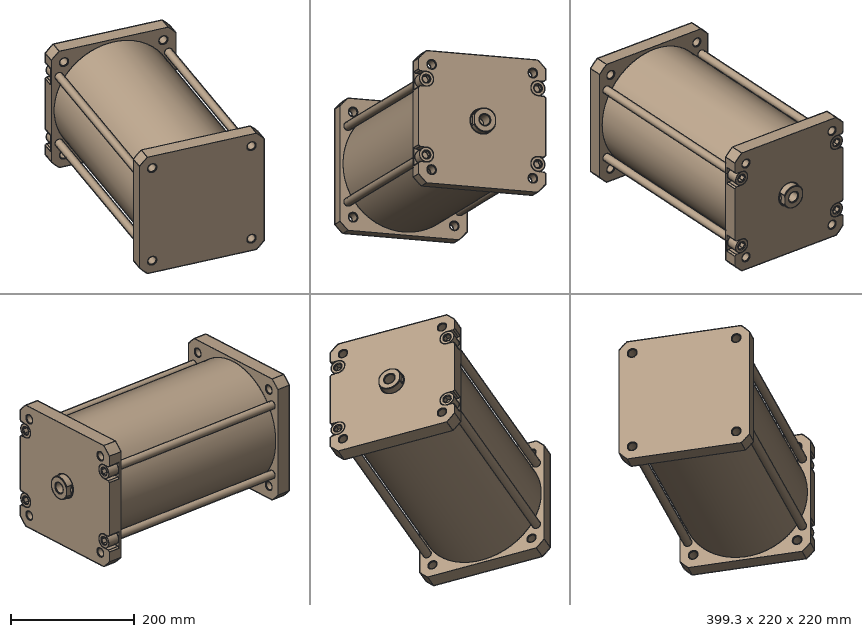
import cadquery as cq
import math


cap_width = 220.0
cap_thickness = 25.0
rod_projection = 12.25
overall_length = 399.25
barrel_start_x = cap_thickness
barrel_end_x = overall_length - rod_projection - cap_thickness

corner_turning_diameter = 292.0
mount_hole_pitch = 175.0
mount_hole_diameter = 14.0
mount_hole_chamfer = 1.2

barrel_diameter = 210.0
barrel_wall = 5.0

tie_rod_y = 96.5
tie_rod_z = 63.0
tie_rod_diameter = 14.0
tie_rod_rear_depth = 15.0
tie_rod_end_x = barrel_end_x + tie_rod_rear_depth
tie_rod_positions = [(y, z) for y in (-tie_rod_y, tie_rod_y) for z in (-tie_rod_z, tie_rod_z)]

pocket_width = 25.0
pocket_depth = 21.0
pocket_mouth_chamfer = 2.6
head_diameter = 24.0
hex_socket_across_flats = 12.0
hex_socket_depth = 10.0
hex_socket_mouth_diameter = 15.0

rod_diameter = 40.0
rod_bore_chamfer = 1.3
rod_tip_chamfer = 1.0
rod_across_flats = 36.0
shoulder_end_x = -1.0
rod_thread_diameter = 18.0
rod_thread_depth = 30.0
rod_thread_chamfer = 1.25
drill_point_angle = 118.0


def cylinder_x(diameter, start_x, end_x, y=0.0, z=0.0):
    """Cylinder along X between two stations."""
    return (
        cq.Workplane("YZ", origin=(start_x, y, z))
        .circle(diameter / 2)
        .extrude(end_x - start_x)
    )


def cone_x(start_diameter, end_diameter, start_x, end_x, y=0.0, z=0.0):
    """Cone along X whose diameter changes evenly; a zero end diameter gives a point."""
    cone = cq.Solid.makeCone(
        start_diameter / 2,
        end_diameter / 2,
        end_x - start_x,
        pnt=cq.Vector(start_x, y, z),
        dir=cq.Vector(1, 0, 0),
    )
    return cq.Workplane(cone)


def make_cap_blank(start_x):
    """Square cap with turned corners and four mounting holes chamfered at both ends."""
    end_x = start_x + cap_thickness
    blank = (
        cq.Workplane("YZ", origin=(start_x, 0, 0))
        .rect(cap_width, cap_width)
        .extrude(cap_thickness)
        .intersect(cylinder_x(corner_turning_diameter, start_x, end_x))
    )
    hole_offset = mount_hole_pitch / 2
    mouth_diameter = mount_hole_diameter + 2 * mount_hole_chamfer
    for y in (-hole_offset, hole_offset):
        for z in (-hole_offset, hole_offset):
            blank = blank.cut(cylinder_x(mount_hole_diameter, start_x, end_x, y, z))
            blank = blank.cut(
                cone_x(mouth_diameter, mount_hole_diameter, start_x, start_x + mount_hole_chamfer, y, z)
            )
            blank = blank.cut(
                cone_x(mount_hole_diameter, mouth_diameter, end_x - mount_hole_chamfer, end_x, y, z)
            )
    return blank


def make_head_pocket(y, z):
    """Round-ended pocket open to the nearer side of the cap, its mouth chamfered along the side face."""
    side = math.copysign(1, y)
    edge_y = side * cap_width / 2
    chamfer_y = edge_y - side * pocket_mouth_chamfer
    half_width = pocket_width / 2
    half_mouth = half_width + pocket_mouth_chamfer
    channel = (
        cq.Workplane("YZ")
        .moveTo(y, z - half_width)
        .lineTo(chamfer_y, z - half_width)
        .lineTo(edge_y, z - half_mouth)
        .lineTo(edge_y, z + half_mouth)
        .lineTo(chamfer_y, z + half_width)
        .lineTo(y, z + half_width)
        .close()
        .extrude(pocket_depth)
    )
    return channel.union(cylinder_x(pocket_width, 0, pocket_depth, y, z))


def make_front_cap():
    """Cap with tie rod pockets and the countersunk bore for the piston rod."""
    cap = make_cap_blank(0)
    for y, z in tie_rod_positions:
        cap = cap.cut(make_head_pocket(y, z))
        cap = cap.cut(cylinder_x(tie_rod_diameter, 0, cap_thickness, y, z))
    bore_mouth_diameter = rod_diameter + 2 * rod_bore_chamfer
    cap = cap.cut(cylinder_x(rod_diameter, 0, cap_thickness))
    return cap.cut(cone_x(bore_mouth_diameter, rod_diameter, 0, rod_bore_chamfer))


def make_rear_cap():
    """Cap with blind holes that take the ends of the tie rods."""
    cap = make_cap_blank(barrel_end_x)
    for y, z in tie_rod_positions:
        cap = cap.cut(cylinder_x(tie_rod_diameter, barrel_end_x, tie_rod_end_x, y, z))
    return cap


def make_barrel():
    """Round tube held between the two caps."""
    bore_diameter = barrel_diameter - 2 * barrel_wall
    tube = cylinder_x(barrel_diameter, barrel_start_x, barrel_end_x)
    return tube.cut(cylinder_x(bore_diameter, barrel_start_x, barrel_end_x))


def make_tie_rod(y, z):
    """Long socket-head screw: round head with a hexagon socket, plain shank into the rear cap."""
    hex_corner_diameter = hex_socket_across_flats / math.cos(math.pi / 6)
    mouth_depth = (hex_socket_mouth_diameter - hex_socket_across_flats) / 2
    head = cylinder_x(head_diameter, 0, pocket_depth, y, z)
    socket = (
        cq.Workplane("YZ", origin=(0, y, z))
        .polygon(6, hex_corner_diameter)
        .extrude(hex_socket_depth)
    )
    socket_mouth = cone_x(hex_socket_mouth_diameter, hex_socket_across_flats, 0, mouth_depth, y, z)
    shank = cylinder_x(tie_rod_diameter, pocket_depth, tie_rod_end_x, y, z)
    return head.cut(socket).cut(socket_mouth).union(shank)


def make_piston_rod():
    """Rod with a flatted, threaded end; a 45 degree shoulder joins the flats to the full diameter."""
    tip_x = -rod_projection
    shoulder_start_x = shoulder_end_x - (rod_diameter - rod_across_flats) / 2
    flatted_end = (
        cylinder_x(rod_diameter, tip_x, shoulder_end_x)
        .faces("<X")
        .chamfer(rod_tip_chamfer)
        .intersect(
            cq.Workplane("YZ", origin=(tip_x, 0, 0))
            .rect(rod_across_flats, rod_diameter)
            .extrude(rod_projection)
        )
    )
    shoulder = cone_x(rod_across_flats, rod_diameter, shoulder_start_x, shoulder_end_x)
    body = cylinder_x(rod_diameter, shoulder_end_x, barrel_start_x)
    rod = body.union(shoulder).union(flatted_end)

    thread_end_x = tip_x + rod_thread_depth
    drill_point_length = rod_thread_diameter / 2 / math.tan(math.radians(drill_point_angle / 2))
    mouth_diameter = rod_thread_diameter + 2 * rod_thread_chamfer
    rod = rod.cut(cylinder_x(rod_thread_diameter, tip_x, thread_end_x))
    rod = rod.cut(cone_x(mouth_diameter, rod_thread_diameter, tip_x, tip_x + rod_thread_chamfer))
    return rod.cut(cone_x(rod_thread_diameter, 0, thread_end_x, thread_end_x + drill_point_length))


front_cap = make_front_cap()
rear_cap = make_rear_cap()
barrel = make_barrel()
piston_rod = make_piston_rod()
tie_rods = [make_tie_rod(y, z) for y, z in tie_rod_positions]

result = cq.Compound.makeCompound(
    [
        front_cap.val(),
        rear_cap.val(),
        barrel.val(),
        piston_rod.val(),
        *[tie_rod.val() for tie_rod in tie_rods],
    ]
)